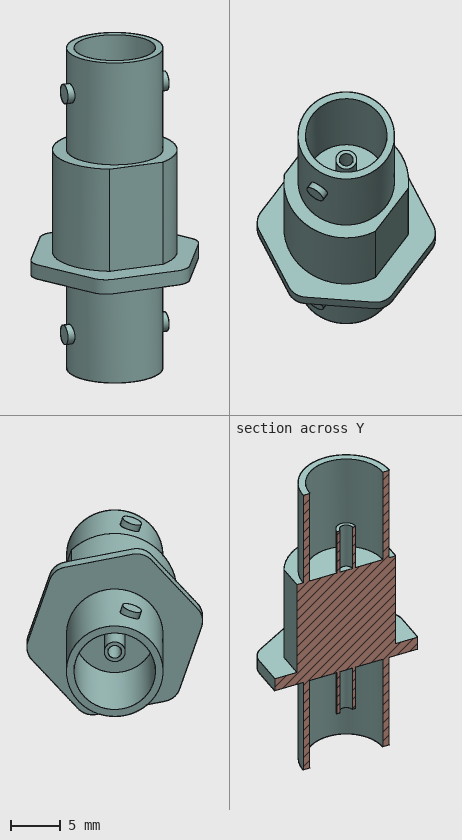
import cadquery as cq

length = 34.0
tube_diameter = 9.72
bore_diameter = 8.2
bore_depth = 10.8

end_length = 10.8
body_diameter = 12.58
body_across_flats = 11.15

flange_across_flats = 16.1
flange_thickness = 1.53
flange_corner_radius = 2.0

lug_diameter = 2.0
lug_span = 11.05
lug_end_distance = 4.2

contact_diameter = 2.1
contact_hole_diameter = 1.35
contact_length = 5.1


def make_body():
    body_length = length - 2 * end_length
    base = cq.Workplane("XY").workplane(offset=end_length)
    cylinder = base.circle(body_diameter / 2).extrude(body_length)
    flats = base.rect(body_across_flats, body_diameter).extrude(body_length)
    return cylinder.intersect(flats)


def make_flange():
    return (
        cq.Workplane("XY")
        .workplane(offset=end_length)
        .polygon(6, flange_across_flats, circumscribed=True)
        .extrude(flange_thickness)
        .edges("|Z")
        .fillet(flange_corner_radius)
    )


def make_lugs(height):
    return (
        cq.Workplane("XZ", origin=(0, 0, height))
        .circle(lug_diameter / 2)
        .extrude(lug_span / 2, both=True)
    )


def make_end_cavity():
    """Bore open at Z = 0, leaving the hollow contact standing on its floor."""
    bore = cq.Workplane("XY").circle(bore_diameter / 2).extrude(bore_depth)
    contact = (
        cq.Workplane("XY")
        .workplane(offset=bore_depth - contact_length)
        .circle(contact_diameter / 2)
        .circle(contact_hole_diameter / 2)
        .extrude(contact_length)
    )
    return bore.cut(contact)


result = cq.Workplane("XY").circle(tube_diameter / 2).extrude(length)
result = result.union(make_body()).union(make_flange())

for lug_height in (lug_end_distance, length - lug_end_distance):
    result = result.union(make_lugs(lug_height))

lower_cavity = make_end_cavity()
upper_cavity = lower_cavity.mirror("XY", (0, 0, length / 2))
result = result.cut(lower_cavity).cut(upper_cavity)